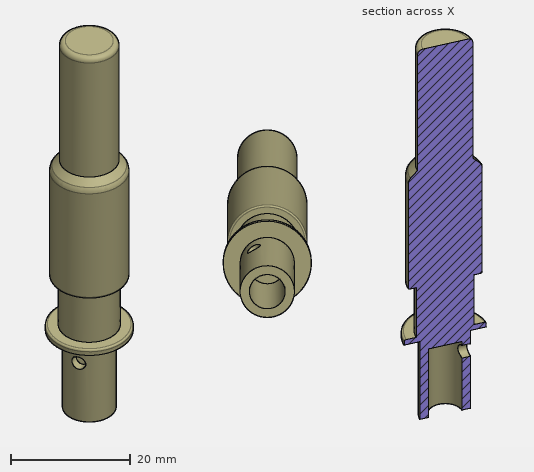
import cadquery as cq

total_length = 75.9
flange_bottom = 15.95
flange_thickness = 1.15
body_bottom = 27.2
shoulder_top = 51.2

tail_diameter = 9.1
flange_diameter = 14.8
neck_diameter = 10.5
body_diameter = 13.35
head_diameter = 10.0

head_fillet = 1.0
shoulder_fillet = 1.45
body_bottom_fillet = 0.3
flange_fillet = 0.4

cup_diameter = 6.0
cup_depth = 14.05
inspection_diameter = 2.5
inspection_height = 12.0


def cylinder(diameter, bottom, top):
    """Coaxial cylinder between two heights."""
    return cq.Workplane("XY").workplane(offset=bottom).circle(diameter / 2).extrude(top - bottom)


def make_flange():
    """Thin collar, rounded on its upper rim."""
    flange = cylinder(flange_diameter, flange_bottom, flange_bottom + flange_thickness)
    return flange.faces(">Z").edges().fillet(flange_fillet)


def make_body():
    """Thick section with a rounded 45 degree shoulder that narrows to the head."""
    shoulder_width = (body_diameter - head_diameter) / 2
    shoulder_bottom = shoulder_top - shoulder_width
    body = cylinder(body_diameter, body_bottom, shoulder_top)
    body = body.faces(">Z").edges().chamfer(shoulder_width)
    shoulder_edge = cq.selectors.NearestToPointSelector((0, 0, shoulder_bottom))
    body = body.edges("%CIRCLE").edges(shoulder_edge).fillet(shoulder_fillet)
    return body.faces("<Z").edges().fillet(body_bottom_fillet)


def make_head():
    """Contact pin with a rounded end."""
    head = cylinder(head_diameter, shoulder_top, total_length)
    return head.faces(">Z").edges().fillet(head_fillet)


tail = cylinder(tail_diameter, 0, flange_bottom)
neck = cylinder(neck_diameter, flange_bottom + flange_thickness, body_bottom)
pin = tail.union(make_flange()).union(neck).union(make_body()).union(make_head())

cup = cylinder(cup_diameter, 0, cup_depth)
inspection_hole = (
    cq.Workplane("XZ")
    .center(0, inspection_height)
    .circle(inspection_diameter / 2)
    .extrude(tail_diameter)
)

result = pin.cut(cup).cut(inspection_hole)